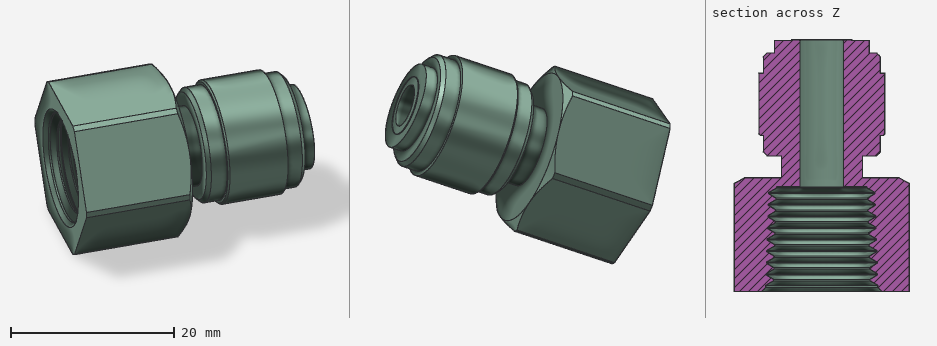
import cadquery as cq
import math

overall_length = 30.9
hex_length = 14.0
collar_start = 16.62
band_start = 19.13
band_end = 26.8
collar_end = 29.3

across_flats = 19.0
across_corners = 21.5
hex_sides = 6
hex_chamfer_angle = 30

neck_radius = 5.0
collar_radius = 7.2
collar_chamfer = 0.5
band_radius = 7.75
band_chamfer = 0.22

button_width = 11.65
button_height = 10.0
lip_radius = 3.7
lip_height = 0.1

bore_radius = 2.65
mouth_radius = 7.4
mouth_chamfer = 0.53
thread_pitch = 1.42
thread_groove_count = 8
thread_taper = 1 / 32
thread_half_angle = 30
first_crest_start = 1.33
first_crest_radius = 5.9
crest_flat = 0.2
root_flat = 0.12
socket_depth = 12.85


def revolve_about_y(profile):
    """Turn a closed (radius, y) outline about the Y axis."""
    return cq.Workplane("XY").polyline(profile).close().revolve(360, (0, 0, 0), (0, 1, 0))


def make_hexagon():
    corner_radius = across_corners / 2
    flat_radius = across_flats / 2
    chamfer_length = (corner_radius - flat_radius) * math.tan(math.radians(hex_chamfer_angle))
    sharp_diameter = across_flats / math.cos(math.pi / hex_sides)
    sharp_hex = cq.Workplane("XZ").polygon(hex_sides, sharp_diameter).extrude(-hex_length)
    envelope = revolve_about_y([
        (0, 0),
        (corner_radius, 0),
        (corner_radius, hex_length - chamfer_length),
        (flat_radius, hex_length),
        (0, hex_length),
    ])
    return sharp_hex.intersect(envelope)


def make_collar():
    shoulder_radius = collar_radius - collar_chamfer
    return revolve_about_y([
        (0, hex_length),
        (neck_radius, hex_length),
        (neck_radius, collar_start),
        (shoulder_radius, collar_start),
        (collar_radius, collar_start + collar_chamfer),
        (collar_radius, band_start),
        (band_radius - band_chamfer, band_start),
        (band_radius, band_start + band_chamfer),
        (band_radius, band_end),
        (collar_radius, band_end),
        (collar_radius, collar_end - collar_chamfer),
        (shoulder_radius, collar_end),
        (0, collar_end),
    ])


def make_button():
    button_end = overall_length - lip_height
    oval = (
        cq.Workplane("XZ", origin=(0, collar_end, 0))
        .ellipse(button_width / 2, button_height / 2)
        .extrude(collar_end - button_end)
    )
    lip = cq.Workplane("XZ", origin=(0, button_end, 0)).circle(lip_radius).extrude(-lip_height)
    return oval.union(lip)


def make_threaded_socket():
    flank_length = (thread_pitch - crest_flat - root_flat) / 2
    groove_depth = flank_length / math.tan(math.radians(thread_half_angle))
    throat_radius = mouth_radius - mouth_chamfer
    outline = [
        (0, 0),
        (mouth_radius, 0),
        (throat_radius, mouth_chamfer),
        (throat_radius, first_crest_start - flank_length),
    ]
    for crest in range(thread_groove_count + 1):
        crest_y = first_crest_start + crest * thread_pitch
        crest_radius = first_crest_radius - crest * thread_pitch * thread_taper
        root_radius = crest_radius + groove_depth
        if crest > 0:
            outline.append((root_radius, crest_y - flank_length - root_flat))
            outline.append((root_radius, crest_y - flank_length))
        outline.append((crest_radius, crest_y))
        if crest < thread_groove_count:
            outline.append((crest_radius, crest_y + crest_flat))
    outline.append((crest_radius, socket_depth))
    outline.append((0, socket_depth))
    return revolve_about_y(outline)


def make_bore():
    return cq.Workplane("XZ").circle(bore_radius).extrude(-overall_length)


solid_body = make_hexagon().union(make_collar()).union(make_button())
result = solid_body.cut(make_threaded_socket()).cut(make_bore())